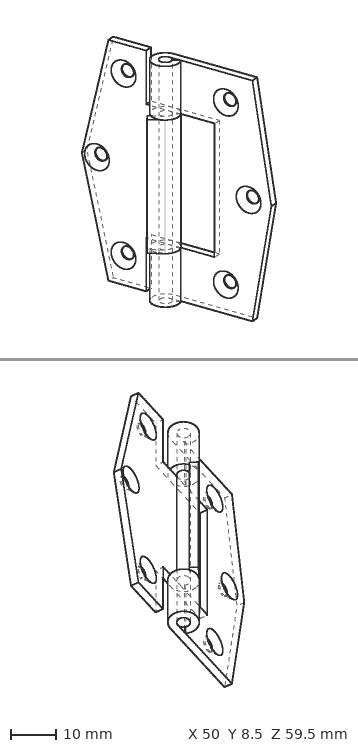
import cadquery as cq
import math

height = 59.5
thickness = 2.0
pin_radius = 1.5
roll_radius = pin_radius + thickness
middle_height = 33.0
half_height = height / 2
middle_half = middle_height / 2

left_tip = -23.0
left_corner = -16.0
left_notch = -6.0
right_tip = 27.0
right_corner = 22.0
window_edge = 12.0

top_angle = 90.0
full_turn = 360.0
curl_end_angle = 25.0
tail_angle = -60.0
overall_depth = 8.5
tail_drop = overall_depth - roll_radius

hole_diameter = 3.2
countersink_diameter = 6.5
countersink_angle = 90.0
outer_hole_height = 22.5
left_outer_hole = -12.0
left_tip_hole = -19.0
right_outer_hole = 15.0
right_tip_hole = 21.0


def polar(radius, angle):
    """Point on a circle around the pin axis, angle in degrees."""
    turn = math.radians(angle)
    return (radius * math.cos(turn), radius * math.sin(turn))


def leaf_plate(outline):
    """Flat plate of the leaf thickness, from an outline in X and Z."""
    return cq.Workplane("XZ", origin=(0, roll_radius, 0)).polyline(outline).close().extrude(thickness)


def drill_screw_holes(leaf, outer_hole, tip_hole):
    """Three holes countersunk from the pin side of the leaf."""
    centres = [
        (outer_hole, outer_hole_height),
        (tip_hole, 0),
        (outer_hole, -outer_hole_height),
    ]
    return (
        cq.Workplane("XZ", origin=(0, pin_radius, 0))
        .add(leaf)
        .pushPoints(centres)
        .cskHole(hole_diameter, countersink_diameter, countersink_angle)
    )


def make_left_leaf():
    plate = leaf_plate([
        (0, middle_half),
        (left_notch, middle_half),
        (left_notch, half_height),
        (left_corner, half_height),
        (left_tip, 0),
        (left_corner, -half_height),
        (left_notch, -half_height),
        (left_notch, -middle_half),
        (0, -middle_half),
    ])

    outer_tangent = polar(roll_radius, tail_angle)
    inner_tangent = polar(pin_radius, tail_angle)
    tail_direction = polar(1, tail_angle - full_turn / 4)
    tail_length = (tail_drop + outer_tangent[1]) / -tail_direction[1]
    tail_run = (tail_length * tail_direction[0], tail_length * tail_direction[1])
    middle_angle = (top_angle + tail_angle) / 2
    roll = (
        cq.Workplane("XY", origin=(0, 0, -middle_half))
        .moveTo(0, roll_radius)
        .threePointArc(polar(roll_radius, middle_angle), outer_tangent)
        .line(*tail_run)
        .lineTo(inner_tangent[0] + tail_run[0], inner_tangent[1] + tail_run[1])
        .lineTo(*inner_tangent)
        .threePointArc(polar(pin_radius, middle_angle), (0, pin_radius))
        .close()
        .extrude(middle_height)
    )
    return drill_screw_holes(plate.union(roll), left_outer_hole, left_tip_hole)


def make_right_leaf():
    leaf = leaf_plate([
        (0, half_height),
        (right_corner, half_height),
        (right_tip, 0),
        (right_corner, -half_height),
        (0, -half_height),
        (0, -middle_half),
        (window_edge, -middle_half),
        (window_edge, middle_half),
        (0, middle_half),
    ])

    middle_angle = (top_angle + full_turn + curl_end_angle) / 2
    knuckle_height = half_height - middle_half
    for base in (-half_height, middle_half):
        knuckle = (
            cq.Workplane("XY", origin=(0, 0, base))
            .moveTo(0, roll_radius)
            .threePointArc(polar(roll_radius, middle_angle), polar(roll_radius, curl_end_angle))
            .lineTo(*polar(pin_radius, curl_end_angle))
            .threePointArc(polar(pin_radius, middle_angle), (0, pin_radius))
            .close()
            .extrude(knuckle_height)
        )
        leaf = leaf.union(knuckle)
    return drill_screw_holes(leaf, right_outer_hole, right_tip_hole)


def make_pin():
    return cq.Workplane("XY", origin=(0, 0, -half_height)).circle(pin_radius).extrude(height)


left_leaf = make_left_leaf()
right_leaf = make_right_leaf()
pin = make_pin()

result = cq.Compound.makeCompound([left_leaf.val(), right_leaf.val(), pin.val()])